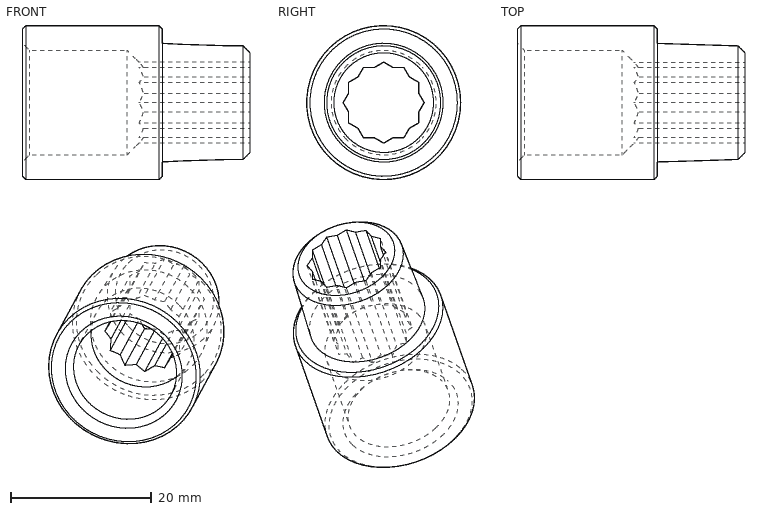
import cadquery as cq
import math

total_length = 32.5
body_length = 20.0

body_diameter = 22.0
body_chamfer = 0.5
spigot_root_diameter = 16.95
spigot_tip_chamfer = 1.0
diameter_taper = 1 / 16

bore_diameter = 14.95
bore_depth = 14.95
mouth_chamfer = 1.0
floor_half_angle = 45.0

socket_corner_diameter = 11.55
hexagon_turns = (0, 30)


def revolve_about_x(points):
    """Turn a closed (x, radius) outline around the X axis."""
    outline = cq.Workplane("XY").polyline(points).close()
    return outline.revolve(360, (0, 0, 0), (1, 0, 0))


def make_outside():
    body_radius = body_diameter / 2
    root_radius = spigot_root_diameter / 2
    taper_end = total_length - spigot_tip_chamfer
    end_radius = root_radius - (taper_end - body_length) * diameter_taper / 2
    return revolve_about_x([
        (0, 0),
        (0, body_radius - body_chamfer),
        (body_chamfer, body_radius),
        (body_length - body_chamfer, body_radius),
        (body_length, body_radius - body_chamfer),
        (body_length, root_radius),
        (taper_end, end_radius),
        (total_length, end_radius - spigot_tip_chamfer),
        (total_length, 0),
    ])


def make_bore():
    bore_radius = bore_diameter / 2
    cone_length = bore_radius / math.tan(math.radians(floor_half_angle))
    return revolve_about_x([
        (0, 0),
        (0, bore_radius + mouth_chamfer),
        (mouth_chamfer, bore_radius),
        (bore_depth, bore_radius),
        (bore_depth + cone_length, 0),
    ])


def make_hexagon(turn):
    """Hexagonal prism through the whole part, turned about the X axis."""
    prism = cq.Workplane("YZ").polygon(6, socket_corner_diameter).extrude(total_length)
    return prism.rotate((0, 0, 0), (1, 0, 0), turn)


result = make_outside().cut(make_bore())
for turn in hexagon_turns:
    result = result.cut(make_hexagon(turn))